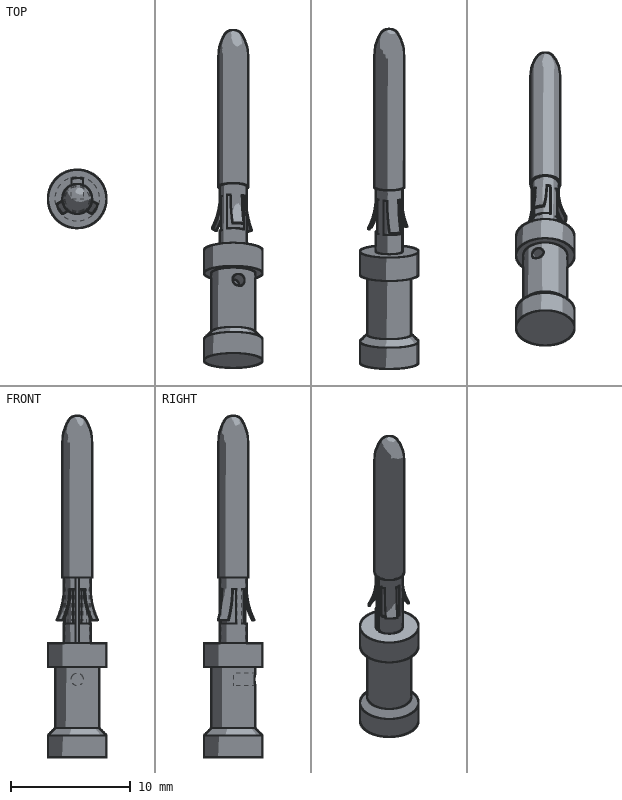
import cadquery as cq
import math

total_height = 28.5
collar_radius = 2.45
barrel_radius = 1.85
neck_radius = 1.03
shaft_radius = 1.25
base_top = 1.82
cone_top = 2.42
collar_bottom = 7.52
collar_top = 9.52
shaft_bottom = 15.0
nose_bottom = 26.25

sight_hole_radius = 0.5
sight_hole_height = 6.5

sleeve_radius = 1.15
sleeve_slit_width = 0.25
window_width = 1.5
window_bottom = 11.15
window_top = 14.05

tongue_width = 0.97
tongue_tip_radius = 1.77
tongue_drop = 2.6
tongue_angles = (90, 210, 330)


def make_pin():
    """Turned pin with an elliptical nose and a blind sight hole."""
    profile = (
        cq.Workplane("XZ")
        .lineTo(collar_radius, 0)
        .lineTo(collar_radius, base_top)
        .lineTo(barrel_radius, cone_top)
        .lineTo(barrel_radius, collar_bottom)
        .lineTo(collar_radius, collar_bottom)
        .lineTo(collar_radius, collar_top)
        .lineTo(neck_radius, collar_top)
        .lineTo(neck_radius, shaft_bottom)
        .lineTo(shaft_radius, shaft_bottom)
        .lineTo(shaft_radius, nose_bottom)
    )
    nose_height = total_height - nose_bottom
    nose_middle = (shaft_radius * math.sqrt(0.5), nose_bottom + nose_height * math.sqrt(0.5))
    profile = profile.spline(
        [nose_middle, (0, total_height)],
        tangents=[(0, nose_height), (-shaft_radius, 0)],
        includeCurrent=True,
    )
    body = profile.close().revolve(360, (0, 0, 0), (0, 1, 0))

    sight_hole = (
        cq.Workplane("XZ")
        .center(0, sight_hole_height)
        .circle(sight_hole_radius)
        .extrude(-barrel_radius)
    )
    return body.cut(sight_hole)


def radial_slab(width, bottom, top, angle):
    """Block reaching from the axis past the collar radius in the given direction."""
    return (
        cq.Workplane("XY")
        .box(collar_radius, width, top - bottom, centered=(False, True, False))
        .translate((0, 0, bottom))
        .rotate((0, 0, 0), (0, 0, 1), angle)
    )


def make_flare():
    """Full ring whose wall starts vertical at the window top and bends outward below."""
    flare = tongue_tip_radius - sleeve_radius
    outer_bend = (tongue_drop**2 + flare**2) / (2 * flare)
    inner_bend = outer_bend + sleeve_radius - neck_radius
    bend_center = sleeve_radius + outer_bend
    bend_angle = math.asin(tongue_drop / outer_bend)

    def bend_point(bend_radius, angle):
        return (
            bend_center - bend_radius * math.cos(angle),
            window_top - bend_radius * math.sin(angle),
        )

    return (
        cq.Workplane("XZ")
        .moveTo(*bend_point(outer_bend, 0))
        .threePointArc(bend_point(outer_bend, bend_angle / 2), bend_point(outer_bend, bend_angle))
        .lineTo(*bend_point(inner_bend, bend_angle))
        .threePointArc(bend_point(inner_bend, bend_angle / 2), bend_point(inner_bend, 0))
        .close()
        .revolve(360, (0, 0, 0), (0, 1, 0))
    )


def make_sleeve():
    """Slit tube with three windows, each holding a bent-out spring tongue."""
    sleeve = (
        cq.Workplane("XY")
        .workplane(offset=collar_top)
        .circle(sleeve_radius)
        .circle(neck_radius)
        .extrude(shaft_bottom - collar_top)
    )
    sleeve = sleeve.cut(radial_slab(sleeve_slit_width, collar_top, shaft_bottom, -90))
    flare = make_flare()
    for angle in tongue_angles:
        sleeve = sleeve.cut(radial_slab(window_width, window_bottom, window_top, angle))
        tongue = flare.intersect(radial_slab(tongue_width, window_bottom, window_top, angle))
        sleeve = sleeve.union(tongue)
    return sleeve


pin = make_pin()
sleeve = make_sleeve()

result = cq.Compound.makeCompound([pin.val(), *sleeve.vals()])